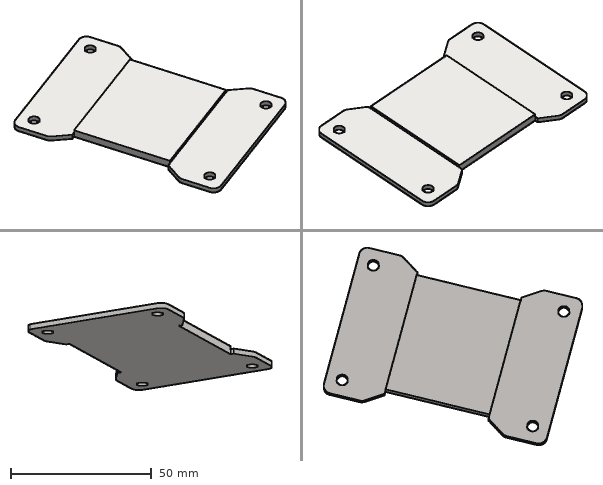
import cadquery as cq

length = 81.7
width = 56.4
height = 3.0

plate_length = 21.8
plate_thickness = 2.0
corner_radius = 3.0
taper_length = 6.95
taper_depth = 4.65

panel_length = length - 2 * plate_length
panel_width = 44.4

hole_diameter = 4.0
hole_inset = 6.0


def end_plate(side):
    """Plate at the -X (side = -1) or +X (side = 1) end, tapered toward the centre."""
    outer_x = side * length / 2
    inner_x = side * panel_length / 2
    taper_x = inner_x + side * taper_length
    edge_y = width / 2
    inner_y = edge_y - taper_depth
    outline = [
        (outer_x, -edge_y),
        (outer_x, edge_y),
        (taper_x, edge_y),
        (inner_x, inner_y),
        (inner_x, -inner_y),
        (taper_x, -edge_y),
    ]
    plate = cq.Workplane("XY").polyline(outline).close().extrude(plate_thickness)
    return plate.edges("|Z and (>Y or <Y)").fillet(corner_radius)


panel = cq.Workplane("XY").box(panel_length, panel_width, height, centered=(True, True, False))

holes = (
    cq.Workplane("XY")
    .rect(length - 2 * hole_inset, width - 2 * hole_inset, forConstruction=True)
    .vertices()
    .circle(hole_diameter / 2)
    .extrude(plate_thickness)
)

result = panel.union(end_plate(-1)).union(end_plate(1)).cut(holes)